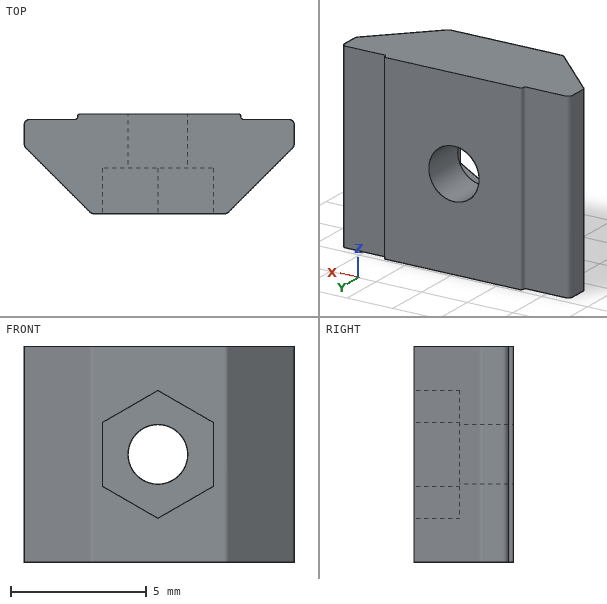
import cadquery as cq
import math

width = 10.0
depth = 3.7
height = 8.0

front_face_width = 5.0
flank_run = (width - front_face_width) / 2
pad_width = 6.05
pad_height = 0.2
corner_radius = 0.2
pad_radius = 0.09

hex_across_flats = 4.1
hex_depth = 1.7
hole_diameter = 2.2
hole_x = -0.05

front_y = -depth / 2
back_y = depth / 2
shoulder_y = back_y - pad_height
flank_top_y = front_y + flank_run


def make_body():
    """Extrude the symmetric T-nut section and round its long edges."""
    right_half = [
        (front_face_width / 2, front_y),
        (width / 2, flank_top_y),
        (width / 2, shoulder_y),
        (pad_width / 2, shoulder_y),
        (pad_width / 2, back_y),
    ]
    left_half = [(-x, y) for x, y in reversed(right_half)]
    body = (
        cq.Workplane("XY")
        .polyline(right_half + left_half)
        .close()
        .extrude(height / 2, both=True)
    )
    outer_corners = right_half[:3] + left_half[2:]
    pad_corners = right_half[3:] + left_half[:2]
    body = round_corners(body, outer_corners, corner_radius)
    return round_corners(body, pad_corners, pad_radius)


def round_corners(body, corners, radius):
    """Fillet the vertical edges that pass through the given XY points."""
    edges = []
    for x, y in corners:
        edges += body.edges(cq.NearestToPointSelector((x, y, 0))).vals()
    return body.newObject(edges).fillet(radius)


def front_plane():
    """Plane on the front face at the hole axis, pointing into the part."""
    return cq.Plane(origin=(hole_x, front_y, 0), xDir=(0, 0, 1), normal=(0, 1, 0))


def make_hex_pocket():
    """Hexagonal prism with its corners pointing up and down."""
    across_corners = hex_across_flats / math.cos(math.pi / 6)
    return cq.Workplane(front_plane()).polygon(6, across_corners).extrude(hex_depth)


def make_hole():
    return cq.Workplane(front_plane()).circle(hole_diameter / 2).extrude(depth)


result = make_body().cut(make_hex_pocket()).cut(make_hole())